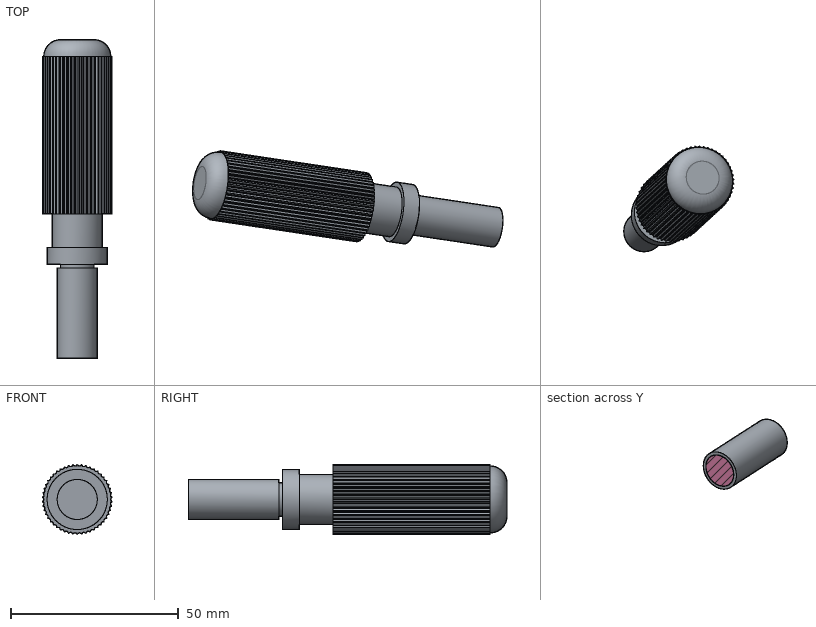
import cadquery as cq
import math

total_length = 95.0

shank_diameter = 12.0
shank_length = 27.0
groove_diameter = 10.1
groove_length = 1.0
flange_diameter = 18.0
flange_length = 5.0
neck_diameter = 15.0
neck_length = 10.0
grip_diameter = 20.0
cap_height = 5.0

ridge_count = 50
ridge_height = 0.41
ridge_base_width = 0.95

grip_radius = grip_diameter / 2
flange_start = shank_length + groove_length
neck_start = flange_start + flange_length
grip_start = neck_start + neck_length
cap_start = total_length - cap_height


def cylinder(diameter, start, end):
    """Cylinder on the Y axis between two distances from the shank tip."""
    return cq.Workplane("XZ", origin=(0, start, 0)).circle(diameter / 2).extrude(start - end)


def stepped_shaft():
    """Shank, relief groove, flange and neck; the neck runs on through the grip as its core."""
    return (
        cylinder(shank_diameter, 0, shank_length)
        .union(cylinder(groove_diameter, shank_length, flange_start))
        .union(cylinder(flange_diameter, flange_start, neck_start))
        .union(cylinder(neck_diameter, neck_start, cap_start))
    )


def domed_cap():
    """Cap with a quarter-circle rim around a flat top, turned about the Y axis."""
    flat_radius = grip_radius - cap_height
    diagonal = cap_height * math.sqrt(0.5)
    return (
        cq.Workplane("XY")
        .moveTo(0, cap_start)
        .lineTo(grip_radius, cap_start)
        .threePointArc((flat_radius + diagonal, cap_start + diagonal), (flat_radius, total_length))
        .lineTo(0, total_length)
        .close()
        .revolve(360, (0, 0), (0, 1))
    )


def knurled_grip():
    """Grip sleeve: a round bar with equally spaced pointed ridges and round valleys between them."""
    pitch = 2 * math.pi / ridge_count
    half_base = math.asin(ridge_base_width / 2 / grip_radius)

    def polar(radius, angle):
        return radius * math.cos(angle), radius * math.sin(angle)

    profile = cq.Workplane("XZ", origin=(0, grip_start, 0)).moveTo(*polar(grip_radius, half_base - pitch / 2))
    for i in range(ridge_count):
        valley_angle = i * pitch
        tip_angle = valley_angle + pitch / 2
        profile = (
            profile
            .threePointArc(polar(grip_radius, valley_angle), polar(grip_radius, tip_angle - half_base))
            .lineTo(*polar(grip_radius + ridge_height, tip_angle))
            .lineTo(*polar(grip_radius, tip_angle + half_base))
        )
    return profile.close().extrude(grip_start - cap_start)


result = stepped_shaft().union(knurled_grip()).union(domed_cap())